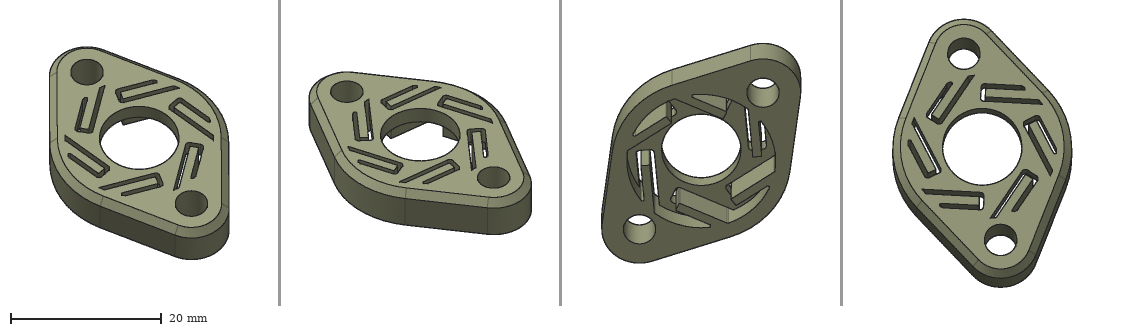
import cadquery as cq
import math

length = 36.0
width = 23.72
height = 5.7
end_radius = 5.0
top_chamfer = 1.0
ear_offset = length / 2 - end_radius
middle_radius = width / 2

center_bore_diameter = 10.5
mount_hole_diameter = 4.3

pocket_radius = 9.85
roof_thickness = 2.35
pocket_depth = height - roof_thickness

fin_count = 6
fin_angle = 16.0
fin_width = 1.2
fin_center_offset = 7.45
slot_gap = 0.6
slot_corner_radius = 0.5
fin_corner_radius = 0.1
fin_root_radius = 0.2


def tangent_outline():
    """Outline of the large middle circle joined to the two end circles by tangent lines."""
    lean = math.asin((middle_radius - end_radius) / ear_offset)
    middle_x = middle_radius * math.sin(lean)
    middle_y = middle_radius * math.cos(lean)
    end_x = ear_offset + end_radius * math.sin(lean)
    end_y = end_radius * math.cos(lean)
    return (
        cq.Workplane("XY")
        .moveTo(-middle_x, middle_y)
        .threePointArc((0, middle_radius), (middle_x, middle_y))
        .lineTo(end_x, end_y)
        .threePointArc((length / 2, 0), (end_x, -end_y))
        .lineTo(middle_x, -middle_y)
        .threePointArc((0, -middle_radius), (-middle_x, -middle_y))
        .lineTo(-end_x, -end_y)
        .threePointArc((-length / 2, 0), (-end_x, end_y))
        .close()
    )


def bar(start_x, bar_width, corner_radius):
    """Full-height bar along X with rounded inner corners, running out past the pocket wall."""
    bar_length = middle_radius - start_x
    return (
        cq.Workplane("XY")
        .box(bar_length, bar_width, height, centered=(False, True, False))
        .edges("|Z and <X")
        .fillet(corner_radius)
        .translate((start_x, fin_center_offset, 0))
    )


def around_center(shape):
    """Six copies of one shape, evenly spaced about the bore axis."""
    copies = cq.Workplane("XY")
    for index in range(fin_count):
        angle = fin_angle + index * 360 / fin_count
        copies = copies.add(shape.rotate((0, 0, 0), (0, 0, 1), angle))
    return copies.combine()


def swirl_chamber():
    """Full-height round space around the fins, with the fin roots blended into its wall."""
    fin = bar(0, fin_width, fin_corner_radius)
    chamber = cq.Workplane("XY").circle(pocket_radius).extrude(height).cut(around_center(fin))
    for index in range(fin_count):
        turn = math.radians(fin_angle + index * 360 / fin_count)
        for side in (-1, 1):
            root_y = fin_center_offset + side * fin_width / 2
            root_angle = turn + math.asin(root_y / pocket_radius)
            root_point = (
                pocket_radius * math.cos(root_angle),
                pocket_radius * math.sin(root_angle),
                height / 2,
            )
            root_edge = cq.selectors.NearestToPointSelector(root_point)
            chamber = chamber.edges("|Z").edges(root_edge).fillet(fin_root_radius)
    return chamber


body = tangent_outline().extrude(height).faces(">Z").edges().chamfer(top_chamfer)

chamber = swirl_chamber()
below_roof = cq.Workplane("XY").rect(length, width).extrude(pocket_depth)
pocket = chamber.intersect(below_roof)
slot = bar(-slot_gap, fin_width + 2 * slot_gap, slot_corner_radius)
slots = chamber.intersect(around_center(slot))

center_bore = cq.Workplane("XY").circle(center_bore_diameter / 2).extrude(height)
mount_holes = (
    cq.Workplane("XY")
    .pushPoints([(-ear_offset, 0), (ear_offset, 0)])
    .circle(mount_hole_diameter / 2)
    .extrude(height)
)

result = body.cut(pocket).cut(slots).cut(center_bore).cut(mount_holes)